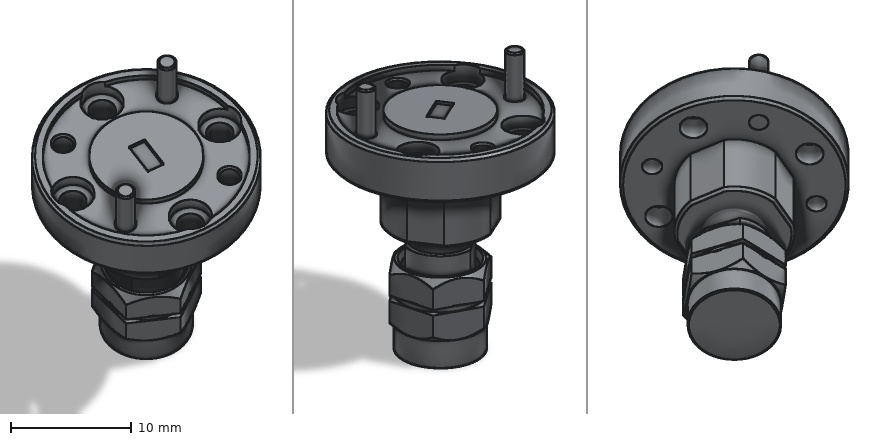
import cadquery as cq
import math

TOTAL_HEIGHT = 25.95
FLANGE_TOP = 22.08
FLANGE_BOTTOM = 18.0
BLOCK_BOTTOM = 11.68
NECK_BOTTOM = 10.07
NUT_TOP = 8.4
GROOVE_TOP = 5.75
GROOVE_BOTTOM = 5.25
NUT_BOTTOM = 2.6

FLANGE_DIAMETER = 19.05
EDGE_CHAMFER = 0.25
FACE_RECESS_DIAMETER = 17.23
FACE_RECESS_DEPTH = 0.52
BOSS_DIAMETER = 9.5
WAVEGUIDE_WIDTH = 3.1
WAVEGUIDE_HEIGHT = 1.53
WAVEGUIDE_DEPTH = 0.25

BOLT_CIRCLE_DIAMETER = 14.27
SCREW_HOLE_DIAMETER = 2.28
COUNTERBORE_DIAMETER = 3.58
COUNTERBORE_DEPTH = 1.05
SCREW_ANGLES = (0, 90, 180, 270)
ALIGNMENT_HOLE_DIAMETER = 1.65
ALIGNMENT_COUNTERSINK = 0.18
ALIGNMENT_ANGLES = (45, 225)
PIN_DIAMETER = 1.6
PIN_TIP_CHAMFER = 0.15
PIN_COUNTERSINK = 0.1
PIN_ANGLES = (135, 315)

BLOCK_DIAMETER = 10.02
BLOCK_ACROSS_FLATS = BOSS_DIAMETER

CONNECTOR_TURN = 7.5
NECK_DIAMETER = 5.42
NECK_FILLET = 0.3
COLLAR_DIAMETER = 6.35
COLLAR_ACROSS_FLATS = 5.53
NUT_ACROSS_FLATS = 7.95
NUT_CORNER_DIAMETER = NUT_ACROSS_FLATS / math.cos(math.radians(30))
ENVELOPE_CLEARANCE = 0.25
NUT_TOP_FACE_DIAMETER = 7.65
NUT_BOTTOM_FACE_DIAMETER = 7.9
NUT_MOUTH_DIAMETER = 7.1
NUT_MOUTH_DEPTH = 0.6
NUT_BORE_DIAMETER = 6.5
SLEEVE_DIAMETER = 7.78
SLEEVE_CHAMFER = 0.1

FACE_FLOOR = FLANGE_TOP - FACE_RECESS_DEPTH
NUT_BORE_FLOOR = GROOVE_TOP


def cylinder(diameter, bottom, top):
    """Cylinder on the main axis between two heights."""
    return cq.Workplane("XY").workplane(offset=bottom).circle(diameter / 2).extrude(top - bottom)


def on_bolt_circle(angle):
    """Point on the bolt circle at an angle in degrees from +X."""
    radius = BOLT_CIRCLE_DIAMETER / 2
    return (radius * math.cos(math.radians(angle)), radius * math.sin(math.radians(angle)))


def at_angles(shape, angles):
    """One copy of an axial shape at each angle of the bolt circle."""
    copies = cq.Workplane("XY")
    for angle in angles:
        x, y = on_bolt_circle(angle)
        copies = copies.add(shape.translate((x, y, 0)))
    return copies


def countersunk_cutter(diameter, countersink):
    """Through-flange hole with a 45 degree countersink at the recessed face."""
    radius = diameter / 2
    return (
        cq.Workplane("XZ")
        .moveTo(0, FLANGE_BOTTOM)
        .lineTo(radius, FLANGE_BOTTOM)
        .lineTo(radius, FACE_FLOOR - countersink)
        .lineTo(radius + countersink, FACE_FLOOR)
        .lineTo(0, FACE_FLOOR)
        .close()
        .revolve(360, (0, 0), (0, 1))
    )


def screw_cutter():
    """Screw hole with a counterbore that breaks into the raised rim."""
    hole = cylinder(SCREW_HOLE_DIAMETER, FLANGE_BOTTOM, FLANGE_TOP)
    counterbore = cylinder(COUNTERBORE_DIAMETER, FACE_FLOOR - COUNTERBORE_DEPTH, FLANGE_TOP)
    return hole.union(counterbore)


def make_flange():
    """Disc with a ring recess around the central boss, its holes and the waveguide opening."""
    flange = cylinder(FLANGE_DIAMETER, FLANGE_BOTTOM, FLANGE_TOP).edges().chamfer(EDGE_CHAMFER)
    recess = cylinder(FACE_RECESS_DIAMETER, FACE_FLOOR, FLANGE_TOP)
    flange = flange.cut(recess.cut(cylinder(BOSS_DIAMETER, FACE_FLOOR, FLANGE_TOP)))

    alignment_cutter = countersunk_cutter(ALIGNMENT_HOLE_DIAMETER, ALIGNMENT_COUNTERSINK)
    pin_cutter = countersunk_cutter(PIN_DIAMETER, PIN_COUNTERSINK)
    hole_patterns = (
        (screw_cutter(), SCREW_ANGLES),
        (alignment_cutter, ALIGNMENT_ANGLES),
        (pin_cutter, PIN_ANGLES),
    )
    for cutter, angles in hole_patterns:
        for hole in at_angles(cutter, angles).vals():
            flange = flange.cut(cq.Workplane(hole))

    waveguide = (
        cq.Workplane("XY")
        .workplane(offset=FLANGE_TOP - WAVEGUIDE_DEPTH)
        .rect(WAVEGUIDE_WIDTH, WAVEGUIDE_HEIGHT)
        .extrude(WAVEGUIDE_DEPTH)
    )
    return flange.cut(waveguide)


def make_block():
    """Cylinder trimmed by four flats, with a chamfered lower edge."""
    flats = (
        cq.Workplane("XY")
        .workplane(offset=BLOCK_BOTTOM)
        .rect(BLOCK_ACROSS_FLATS, BLOCK_ACROSS_FLATS)
        .extrude(FLANGE_BOTTOM - BLOCK_BOTTOM)
    )
    bevelled_flats = flats.faces("<Z").edges().chamfer(EDGE_CHAMFER)
    round_block = cylinder(BLOCK_DIAMETER, BLOCK_BOTTOM, FLANGE_BOTTOM)
    return round_block.faces("<Z").edges().chamfer(EDGE_CHAMFER).intersect(bevelled_flats)


def make_neck():
    """Round neck that flares into the block above it with a concave fillet."""
    radius = NECK_DIAMETER / 2
    arc_offset = NECK_FILLET * (1 - math.sqrt(0.5))
    return (
        cq.Workplane("XZ")
        .moveTo(0, NECK_BOTTOM)
        .lineTo(radius, NECK_BOTTOM)
        .lineTo(radius, BLOCK_BOTTOM - NECK_FILLET)
        .threePointArc(
            (radius + arc_offset, BLOCK_BOTTOM - arc_offset),
            (radius + NECK_FILLET, BLOCK_BOTTOM),
        )
        .lineTo(0, BLOCK_BOTTOM)
        .close()
        .revolve(360, (0, 0), (0, 1))
    )


def make_collar():
    """Collar with two wrench flats, standing on the floor of the nut's bore."""
    flats = (
        cq.Workplane("XY")
        .workplane(offset=NUT_BORE_FLOOR)
        .rect(COLLAR_DIAMETER, COLLAR_ACROSS_FLATS)
        .extrude(NECK_BOTTOM - NUT_BORE_FLOOR)
    )
    return cylinder(COLLAR_DIAMETER, NUT_BORE_FLOOR, NECK_BOTTOM).intersect(flats)


def hexagon(bottom, top):
    """Hexagonal prism with two sides facing -Y and +Y before the connector is turned."""
    return (
        cq.Workplane("XY")
        .workplane(offset=bottom)
        .polygon(6, NUT_CORNER_DIAMETER)
        .extrude(top - bottom)
    )


def nut_envelope():
    """Double 45 degree cone that bevels the outer corners of both hexagons."""
    top_radius = NUT_TOP_FACE_DIAMETER / 2
    bottom_radius = NUT_BOTTOM_FACE_DIAMETER / 2
    outer_radius = NUT_CORNER_DIAMETER / 2 + ENVELOPE_CLEARANCE
    return (
        cq.Workplane("XZ")
        .moveTo(0, NUT_BOTTOM)
        .lineTo(bottom_radius, NUT_BOTTOM)
        .lineTo(outer_radius, NUT_BOTTOM + outer_radius - bottom_radius)
        .lineTo(outer_radius, NUT_TOP - outer_radius + top_radius)
        .lineTo(top_radius, NUT_TOP)
        .lineTo(0, NUT_TOP)
        .close()
        .revolve(360, (0, 0), (0, 1))
    )


def nut_bore():
    """Blind bore around the collar, widening to a conical mouth at the top."""
    bore_radius = NUT_BORE_DIAMETER / 2
    return (
        cq.Workplane("XZ")
        .moveTo(0, NUT_BORE_FLOOR)
        .lineTo(bore_radius, NUT_BORE_FLOOR)
        .lineTo(bore_radius, NUT_TOP - NUT_MOUTH_DEPTH)
        .lineTo(NUT_MOUTH_DIAMETER / 2, NUT_TOP)
        .lineTo(0, NUT_TOP)
        .close()
        .revolve(360, (0, 0), (0, 1))
    )


def make_nut():
    """Two bevelled hexagons on a round sleeve, with a bore open at the top."""
    hexagons = hexagon(GROOVE_TOP, NUT_TOP).union(hexagon(NUT_BOTTOM, GROOVE_BOTTOM))
    sleeve = cylinder(SLEEVE_DIAMETER, 0, GROOVE_TOP).faces("<Z").edges().chamfer(SLEEVE_CHAMFER)
    return hexagons.intersect(nut_envelope()).union(sleeve).cut(nut_bore())


def make_housing():
    """Flange, block and coaxial connector as one solid."""
    connector = make_nut().union(make_collar()).union(make_neck())
    connector = connector.rotate((0, 0, 0), (0, 0, 1), CONNECTOR_TURN)
    return make_flange().union(make_block()).union(connector)


def make_pin():
    """Alignment pin reaching from the flange's underside to the top, with a chamfered tip."""
    return cylinder(PIN_DIAMETER, FLANGE_BOTTOM, TOTAL_HEIGHT).faces(">Z").edges().chamfer(PIN_TIP_CHAMFER)


housing = make_housing()
pins = at_angles(make_pin(), PIN_ANGLES)

result = cq.Compound.makeCompound([housing.solids().val(), *pins.vals()])